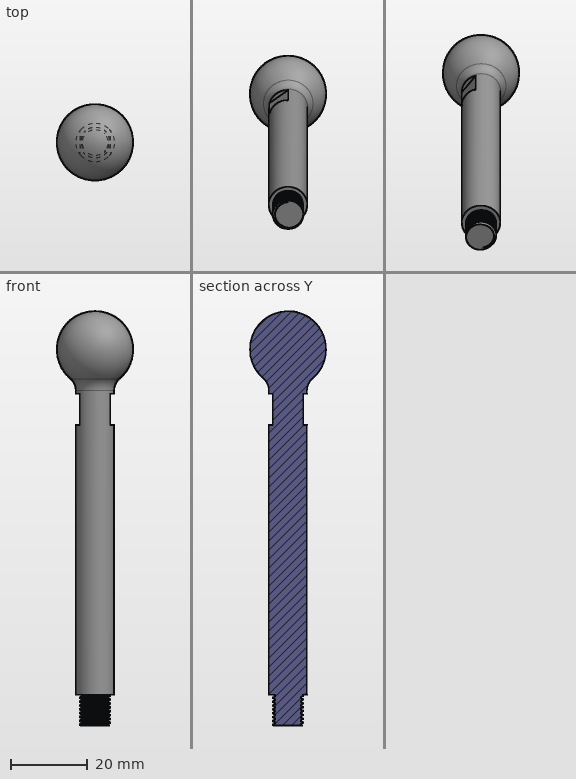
import cadquery as cq
import math

total_length = 108.0
ball_diameter = 20.0
shaft_diameter = 10.0
neck_fillet = 4.0

flat_width = 8.0
flat_length = 8.1
flat_top_gap = 21.6

thread_length = 8.0
thread_diameter = 8.0
core_diameter = 6.7
thread_pitch = 1.0
thread_start_drop = 1.25 * thread_pitch
crest_width = thread_pitch / 8
root_width = 0.85 * thread_pitch
root_overlap = 0.1

ball_radius = ball_diameter / 2
shaft_radius = shaft_diameter / 2
core_radius = core_diameter / 2
thread_radius = thread_diameter / 2
ball_center_z = total_length - ball_radius

fillet_center_x = shaft_radius + neck_fillet
center_distance = ball_radius + neck_fillet
fillet_drop = math.sqrt(center_distance**2 - fillet_center_x**2)
fillet_center_z = ball_center_z - fillet_drop
ball_tangent = (
    fillet_center_x * ball_radius / center_distance,
    ball_center_z - fillet_drop * ball_radius / center_distance,
)
middle_angle = math.pi - math.atan2(fillet_drop, fillet_center_x) / 2
fillet_middle = (
    fillet_center_x + neck_fillet * math.cos(middle_angle),
    fillet_center_z + neck_fillet * math.sin(middle_angle),
)


def make_body():
    """Thread core, shaft, filleted neck and ball as one revolved shape."""
    return (
        cq.Workplane("XZ")
        .lineTo(core_radius, 0)
        .lineTo(core_radius, thread_length)
        .lineTo(shaft_radius, thread_length)
        .lineTo(shaft_radius, fillet_center_z)
        .threePointArc(fillet_middle, ball_tangent)
        .threePointArc((ball_radius, ball_center_z), (0, total_length))
        .close()
        .revolve(360, (0, 0, 0), (0, 1, 0))
    )


def cut_wrench_flats(body):
    """Cut two opposite flats, facing -X and +X, just below the neck."""
    flat_center_z = total_length - flat_top_gap - flat_length / 2
    cutter_depth = shaft_radius
    for side in (-1, 1):
        cutter = cq.Workplane("XY").box(cutter_depth, shaft_diameter, flat_length)
        cutter_x = side * (flat_width + cutter_depth) / 2
        body = body.cut(cutter.translate((cutter_x, 0, flat_center_z)))
    return body


def make_thread():
    """Right-hand helical ridge, trimmed flush with the end of the rod and the shaft."""
    helix = cq.Wire.makeHelix(thread_pitch, thread_length + 2 * thread_pitch, core_radius)
    ridge = (
        cq.Workplane("XZ")
        .moveTo(core_radius - root_overlap, -root_width / 2)
        .lineTo(core_radius, -root_width / 2)
        .lineTo(thread_radius, -crest_width / 2)
        .lineTo(thread_radius, crest_width / 2)
        .lineTo(core_radius, root_width / 2)
        .lineTo(core_radius - root_overlap, root_width / 2)
        .close()
        .sweep(cq.Workplane(helix), isFrenet=True)
        .translate((0, 0, -thread_start_drop))
    )
    envelope = cq.Workplane("XY").circle(shaft_radius).extrude(thread_length)
    return ridge.intersect(envelope)


result = cut_wrench_flats(make_body()).union(make_thread())